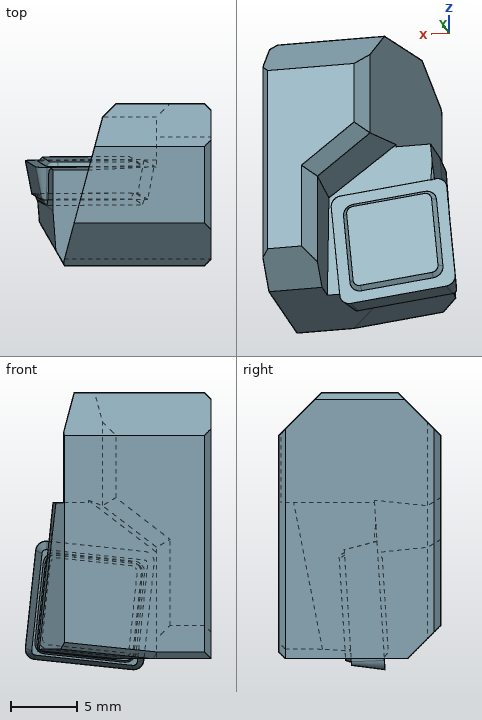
import cadquery as cq
import math


HOLDER_RIGHT = 13.98
HOLDER_DEPTH = 12.2
HOLDER_BOTTOM = 0.83
HOLDER_TOP = 20.85
TOP_BEVEL = 3.2
BACK_BOTTOM_BEVEL = 2.5
EDGE_CHAMFER = 0.5
BACK_LEFT_CHAMFER = 1.0
BACK_CHAMFER_Y = HOLDER_DEPTH - BACK_LEFT_CHAMFER

HEAD_CORNER_X = 2.81
FRONT_FLANK_X = 2.95
HEAD_ANGLE = 15.0
FRONT_FLANK_ANGLE = 30.0
LEDGE_Z = 12.57
SEAT_X = 2.08
CUT_ANGLE = 6.0
MIDDLE_FLANK_POINTS = [(SEAT_X, 4.13, LEDGE_Z), (2.31, 1.05, LEDGE_Z), (1.06, 3.23, 1.55)]

RELIEF_START_X = 9.59
RELIEF_POINTS = [(RELIEF_START_X, EDGE_CHAMFER, HOLDER_BOTTOM), (2.98, EDGE_CHAMFER, 1.52), (1.1, 3.23, 1.55)]

INSERT_SIDE = 8.96
INSERT_THICKNESS = 2.5
INSERT_CORNER_RADIUS = 0.8
INSERT_CLEARANCE = 11.0
RAKE_ANGLE = 3.6
RAKE_Y = 8.0
PLATEAU_INSET = 0.88
PLATEAU_HEIGHT = 0.31
PLATEAU_TAPER = 45.0
BOSS_INSET = 0.17
BOSS_HEIGHT = 0.42
BOSS_TAPER = 20.0
RAISED_RADIUS = 0.83

GULLET_FLOOR_X = 9.88
GULLET_CEILING_POINTS = [(5.92, BACK_CHAMFER_Y, 12.25), (4.81, 7.21, 12.7), (GULLET_FLOOR_X, BACK_CHAMFER_Y, 9.21)]

REACH = 62.52


def tangent(degrees):
    return math.tan(math.radians(degrees))


RAKE_NORMAL = (0, 1, tangent(RAKE_ANGLE))
RAKE_POINT = (0, RAKE_Y, 0)


def beyond(point, normal):
    """Large block filling the side of a plane that its normal points to."""
    plane = cq.Plane(origin=point, normal=normal)
    return cq.Workplane(plane).rect(REACH, REACH).extrude(REACH)


def normal_through(points, outward):
    """Unit normal of the plane through three points, on the outward side."""
    first, second, third = [cq.Vector(*point) for point in points]
    normal = (second - first).cross(third - first).normalized()
    return normal if normal.dot(cq.Vector(*outward)) > 0 else normal * -1


def make_blank():
    """Bevelled side profile, run along the full width."""
    bevel_z = HOLDER_TOP - TOP_BEVEL
    profile = [
        (0, HOLDER_BOTTOM),
        (HOLDER_DEPTH - BACK_BOTTOM_BEVEL, HOLDER_BOTTOM),
        (HOLDER_DEPTH, HOLDER_BOTTOM + BACK_BOTTOM_BEVEL),
        (HOLDER_DEPTH, bevel_z),
        (HOLDER_DEPTH - TOP_BEVEL, HOLDER_TOP),
        (TOP_BEVEL, HOLDER_TOP),
        (0, bevel_z),
    ]
    return cq.Workplane("YZ").polyline(profile).close().extrude(HOLDER_RIGHT)


def cut_left_flanks(body):
    seat_block = beyond((0, 0, LEDGE_Z), (0, 0, -1)).cut(beyond(RAKE_POINT, RAKE_NORMAL))
    head_waste = beyond((HEAD_CORNER_X, 0, LEDGE_Z), (-1, tangent(HEAD_ANGLE), 0)).cut(seat_block)
    front_flank = beyond((FRONT_FLANK_X, 0, LEDGE_Z), (-1, -tangent(FRONT_FLANK_ANGLE), 0))
    middle_flank = beyond(MIDDLE_FLANK_POINTS[0], normal_through(MIDDLE_FLANK_POINTS, (-1, 0, 0)))
    seat_flank = beyond((SEAT_X, 0, LEDGE_Z), (-1, 0, tangent(CUT_ANGLE)))
    for waste in (head_waste, front_flank, middle_flank, seat_flank):
        body = body.cut(waste)
    return body


def cut_gullet(body):
    """Gullet left of its floor and under its ceiling, behind the rake plane."""
    gullet = beyond((GULLET_FLOOR_X, 0, 0), (-1, 0, 0)).intersect(beyond(RAKE_POINT, RAKE_NORMAL))
    ceiling_normal = normal_through(GULLET_CEILING_POINTS, (0, 0, 1))
    gullet = gullet.cut(beyond(GULLET_CEILING_POINTS[0], ceiling_normal))
    return body.cut(gullet)


def chamfer_back_left(body):
    """Chamfer the back edges of the head, the gullet ceiling and the gullet floor."""
    head_x = HEAD_CORNER_X + BACK_CHAMFER_Y * tangent(HEAD_ANGLE)
    body = body.cut(beyond((head_x, BACK_CHAMFER_Y, 0), (-1, 1, 0)))
    gullet_bevel = beyond((GULLET_FLOOR_X, BACK_CHAMFER_Y, 0), (-1, 1, 0))
    ceiling_normal = normal_through(GULLET_CEILING_POINTS, (0, 0, 1))
    ceiling_bevel_normal = ceiling_normal - cq.Vector(0, 1, 0)
    gullet_bevel = gullet_bevel.cut(beyond(GULLET_CEILING_POINTS[0], ceiling_bevel_normal))
    return body.cut(gullet_bevel.intersect(beyond(RAKE_POINT, RAKE_NORMAL)))


def cut_underside(body):
    """Sloping relief and the chamfer along the front bottom edge."""
    relief_normal = normal_through(RELIEF_POINTS, (0, 0, -1))
    body = body.cut(beyond(RELIEF_POINTS[0], relief_normal))
    for normal in (cq.Vector(0, 0, -1), relief_normal):
        chamfer_point = (RELIEF_START_X, EDGE_CHAMFER, HOLDER_BOTTOM)
        body = body.cut(beyond(chamfer_point, normal + cq.Vector(0, -1, 0)))
    return body


def chamfer_right_side(body):
    """Chamfers from the right face to the front, back and top faces."""
    inner_x = HOLDER_RIGHT - EDGE_CHAMFER
    body = body.cut(beyond((inner_x, 0, 0), (1, -1, 0)))
    body = body.cut(beyond((inner_x, HOLDER_DEPTH, 0), (1, 1, 0)))
    return body.cut(beyond((inner_x, 0, HOLDER_TOP), (1, 0, 1)))


def rounded_square(plane, side, radius):
    outline = cq.Sketch().rect(side, side).vertices().fillet(radius)
    return cq.Workplane(plane).placeSketch(outline)


def make_insert():
    """Square positive insert whose cutting corner touches X = 0 and Z = 0."""
    lean = math.radians(CUT_ANGLE)
    reach = (INSERT_SIDE / 2 - INSERT_CORNER_RADIUS) * (math.cos(lean) + math.sin(lean)) + INSERT_CORNER_RADIUS
    centre_z = reach * math.cos(math.radians(RAKE_ANGLE))
    centre = (reach, RAKE_Y - centre_z * tangent(RAKE_ANGLE), centre_z)
    edge = cq.Vector(math.cos(lean), math.sin(lean) * tangent(RAKE_ANGLE), -math.sin(lean))
    rake_plane = cq.Plane(origin=centre, xDir=edge, normal=RAKE_NORMAL)
    base_plane = cq.Plane(rake_plane.toWorldCoords((0, 0, -INSERT_THICKNESS)), edge, RAKE_NORMAL)
    base_side = INSERT_SIDE - 2 * INSERT_THICKNESS * tangent(INSERT_CLEARANCE)

    plate = rounded_square(rake_plane, INSERT_SIDE, INSERT_CORNER_RADIUS)
    plate = plate.extrude(-INSERT_THICKNESS, taper=INSERT_CLEARANCE)
    plateau = rounded_square(rake_plane, INSERT_SIDE - 2 * PLATEAU_INSET, RAISED_RADIUS)
    plateau = plateau.extrude(PLATEAU_HEIGHT, taper=PLATEAU_TAPER)
    boss = rounded_square(base_plane, base_side - 2 * BOSS_INSET, RAISED_RADIUS)
    boss = boss.extrude(-BOSS_HEIGHT, taper=BOSS_TAPER)
    return plate.union(plateau).union(boss)


def make_holder(insert):
    body = chamfer_back_left(cut_gullet(cut_left_flanks(make_blank())))
    body = chamfer_right_side(cut_underside(body))
    return body.cut(insert)


insert = make_insert()
holder = make_holder(insert)

result = cq.Compound.makeCompound([holder.val(), insert.val()])